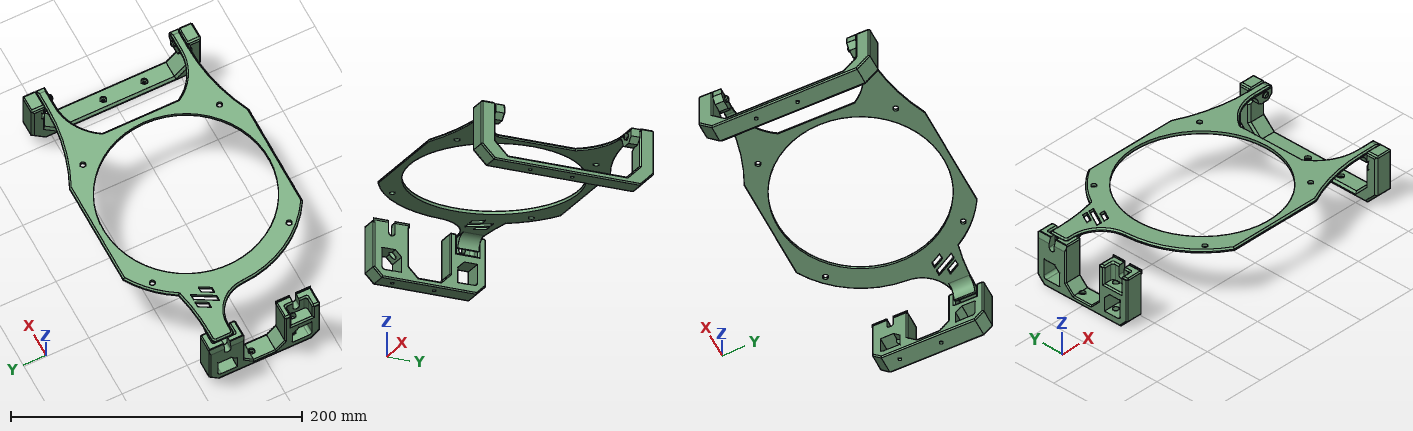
import cadquery as cq
import math

half_length = 119.5
bracket_width = 15.0
bracket_bottom = -42.0
base_top = -37.8
edge_chamfer = 1.0
fit_gap = 0.2

plate_thickness = 2.5
plate_half_width = 68.95
flat_half_length = 40.6
ring_outer_radius = math.hypot(flat_half_length, plate_half_width)
opening_diameter = 127.0
plate_chamfer = 1.2
screw_hole_diameter = 4.0
screw_hole_offset = 52.5
bridge_edge_x = 69.0
bridge_half_width = 29.2
arm_outer_y = 54.7
arm_inner_y = 48.0
arm_straight_x = 102.8
arm_end_slope_length = 3.3
arm_end_slope_drop = 1.0

post_y = 28.7
tab_half_width = 8.0
tab_end_x = -113.3
tab_straight_x = -105.2
tab_corner_radius = 2.9
wedge_overhang = 1.2
wedge_fillet_radius = 8.5
tab_neck = (-28.6, 16.9)

lug_thickness = 6.7
lug_bottom = -11.0
lug_slope = 4.0
lug_fillet_radius = 7.2
lug_overlap = 1.7
lug_bottom_start = 2.6
pin_x = 112.5
pin_z = -5.0
pin_diameter = 4.8
pin_inner_y = 46.0
pin_outer_y = 57.5
pin_chamfer = 1.0
groove_width = 5.7
groove_depth = 2.9
groove_end_drop = 5.3

left_center_x = -half_length + bracket_width / 2
right_center_x = half_length - bracket_width / 2
left_outer_y = 42.5
left_inner_y = 15.5
left_outer_chamfer = 6.7
left_inner_chamfer = 7.2
hinge_face_chamfer = 1.7
right_outer_y = 65.2
right_inner_y = arm_outer_y
right_outer_chamfer = 9.8
right_inner_chamfer = 9.8
base_hole_ys = (6.7, -24.9)
base_hole_diameter = 2.5
base_counterbore_diameter = 4.8
base_counterbore_depth = 2.0

window_half_width = 7.5
window_bottom = -36.0
window_top = -20.0
window_corner_cut = 4.8
window_fillet = 2.5
pocket_half_width = tab_half_width + fit_gap
pocket_wall = 6.0
pocket_floor = -14.0
pocket_corner_radius = 2.5
pocket_rim_chamfer = 1.2
slot_diameter = 4.8
slot_bottom = -10.3
outer_taper_height = 4.8
outer_taper_depth = 1.5
lip_thickness = 0.5
lip_bottom = -2.2
lip_top = 0.7

slanted_slots = ((-88.2, 25.3, 33.5), (-85.8, 18.0, 33.5), (-78.6, 18.0, 26.0))
slanted_slot_width = 4.3
slant_angle = math.radians(29)


def point_on_circle(center, radius, degrees):
    angle = math.radians(degrees)
    return (center[0] + radius * math.cos(angle), center[1] + radius * math.sin(angle))


def arm_arc_middle(tangent_point, end_point):
    """Middle of the arc that leaves tangent_point along X and ends at end_point."""
    run = end_point[0] - tangent_point[0]
    rise = end_point[1] - tangent_point[1]
    radius = (run**2 + rise**2) / (2 * abs(rise))
    half_angle = math.atan2(abs(rise), abs(run))
    return (
        tangent_point[0] + math.copysign(radius * math.sin(half_angle), run),
        tangent_point[1] + math.copysign(radius * (1 - math.cos(half_angle)), rise),
    )


def flipped(point):
    return (point[0], -point[1])


def plate_outline():
    """Outer outline of the ring with its latch tab and two hinge arms."""
    ring_center = (0, 0)
    tab_top_y = post_y + tab_half_width
    tab_bottom_y = post_y - tab_half_width
    neck_angle = math.degrees(math.atan2(tab_neck[1], tab_neck[0]))
    corner_angle = math.degrees(math.atan2(plate_half_width, flat_half_length))
    neck_start = point_on_circle(ring_center, ring_outer_radius, neck_angle)
    upper_middle = point_on_circle(ring_center, ring_outer_radius, (180 - corner_angle + neck_angle) / 2)

    hollow_radius = (tab_straight_x**2 + tab_bottom_y**2 - ring_outer_radius**2) / (
        2 * (ring_outer_radius + tab_bottom_y)
    )
    hollow_center = (tab_straight_x, tab_bottom_y - hollow_radius)
    hollow_angle = math.degrees(math.atan2(-hollow_center[1], -hollow_center[0]))
    hollow_middle = point_on_circle(hollow_center, hollow_radius, (90 + hollow_angle) / 2)
    hollow_end = point_on_circle(hollow_center, hollow_radius, hollow_angle)
    lower_middle = point_on_circle(
        ring_center, ring_outer_radius, (180 + hollow_angle + 180 + corner_angle) / 2
    )

    outer_tangent = (arm_straight_x, -arm_outer_y)
    inner_tangent = (arm_straight_x, -arm_inner_y)
    ring_corner = (flat_half_length, -plate_half_width)
    bridge_corner = (bridge_edge_x, -bridge_half_width)
    outer_middle = arm_arc_middle(outer_tangent, ring_corner)
    inner_middle = arm_arc_middle(inner_tangent, bridge_corner)

    return (
        cq.Workplane("XY", origin=(0, 0, -plate_thickness))
        .moveTo(half_length, arm_outer_y)
        .lineTo(*flipped(outer_tangent))
        .threePointArc(flipped(outer_middle), flipped(ring_corner))
        .lineTo(-flat_half_length, plate_half_width)
        .threePointArc(upper_middle, neck_start)
        .threePointArc(
            arm_arc_middle((tab_straight_x, tab_top_y), neck_start), (tab_straight_x, tab_top_y)
        )
        .lineTo(tab_end_x, tab_top_y)
        .lineTo(tab_end_x, tab_bottom_y)
        .lineTo(tab_straight_x, tab_bottom_y)
        .threePointArc(hollow_middle, hollow_end)
        .threePointArc(lower_middle, (-flat_half_length, -plate_half_width))
        .lineTo(*ring_corner)
        .threePointArc(outer_middle, outer_tangent)
        .lineTo(half_length, -arm_outer_y)
        .lineTo(half_length, -arm_inner_y)
        .lineTo(*inner_tangent)
        .threePointArc(inner_middle, bridge_corner)
        .lineTo(bridge_edge_x, bridge_half_width)
        .threePointArc(flipped(inner_middle), flipped(inner_tangent))
        .lineTo(half_length, arm_inner_y)
        .close()
    )


def hinge_lug():
    """Lug hanging under the +Y hinge arm."""
    face_x = half_length - bracket_width + lug_overlap
    under = -plate_thickness
    return (
        cq.Workplane("XZ", origin=(0, arm_outer_y - fit_gap, 0))
        .moveTo(half_length, under)
        .lineTo(face_x - lug_fillet_radius, under)
        .radiusArc((face_x, under - lug_fillet_radius), lug_fillet_radius)
        .lineTo(face_x + lug_bottom_start, lug_bottom)
        .lineTo(half_length - lug_slope, lug_bottom)
        .lineTo(half_length, lug_bottom + lug_slope)
        .close()
        .extrude(lug_thickness)
    )


def mirrored_pair(body):
    return body.union(body.mirror("XZ"))


def slanted_slot(left_x, bottom_y, top_y):
    """Parallelogram slot through the latch arm."""
    shift = (top_y - bottom_y) * math.tan(slant_angle)
    right_x = left_x + slanted_slot_width
    outline = [(left_x, bottom_y), (right_x, bottom_y), (right_x + shift, top_y), (left_x + shift, top_y)]
    return cq.Workplane("XY").polyline(outline).close().extrude(-plate_thickness)


def arm_end_slope():
    """Shallow slope cut across the top of the +Y hinge arm's end."""
    return (
        cq.Workplane("XZ", origin=(0, arm_outer_y, 0))
        .moveTo(half_length - arm_end_slope_length, 0)
        .lineTo(half_length, -arm_end_slope_drop)
        .lineTo(half_length, 0)
        .close()
        .extrude(arm_outer_y - arm_inner_y)
    )


def tab_wedge():
    """Wedge under the latch tab that fills the pocket, with a fillet up to the arm."""
    face_x = -half_length + bracket_width + wedge_overhang
    bottom = -plate_thickness - wedge_fillet_radius
    return (
        cq.Workplane("XZ", origin=(0, post_y + tab_half_width, 0))
        .moveTo(tab_end_x + tab_corner_radius, -plate_thickness)
        .lineTo(face_x - wedge_overhang, bottom)
        .lineTo(face_x, bottom)
        .radiusArc((face_x + wedge_fillet_radius, -plate_thickness), wedge_fillet_radius)
        .close()
        .extrude(2 * tab_half_width)
    )


def hinge_pin():
    """Pin of the +Y hinge, chamfered at its outer end."""
    pin = (
        cq.Workplane("XZ", origin=(pin_x, pin_inner_y, pin_z))
        .circle(pin_diameter / 2)
        .extrude(pin_inner_y - pin_outer_y)
    )
    return pin.faces("<Y").chamfer(pin_chamfer)


def make_ring_plate():
    plate = plate_outline().extrude(plate_thickness - plate_chamfer)
    plate = plate.edges("|Z and <X").fillet(tab_corner_radius)
    plate = plate.faces(">Z").wires().toPending().extrude(plate_chamfer, taper=45)
    opening = cq.Workplane("XY").circle(opening_diameter / 2).extrude(-plate_thickness)
    screw_holes = (
        cq.Workplane("XY")
        .rect(2 * screw_hole_offset, 2 * screw_hole_offset, forConstruction=True)
        .vertices()
        .circle(screw_hole_diameter / 2)
        .extrude(-plate_thickness)
    )
    plate = plate.cut(opening).cut(screw_holes)
    for left_x, bottom_y, top_y in slanted_slots:
        plate = plate.cut(slanted_slot(left_x, bottom_y, top_y))
    plate = plate.cut(mirrored_pair(arm_end_slope()))
    plate = plate.union(mirrored_pair(hinge_lug())).union(tab_wedge())
    return plate.cut(mirrored_pair(hinge_pin()))


def bracket_blank(center_x, outer_y, inner_y, outer_chamfer, inner_chamfer, face_chamfer):
    """U-shaped bracket: two posts on a base; face_chamfer is for the edges of the -X face."""
    half_profile = [
        (inner_y - inner_chamfer, base_top),
        (inner_y, base_top + inner_chamfer),
        (inner_y, 0),
        (outer_y, 0),
        (outer_y, bracket_bottom + outer_chamfer),
        (outer_y - outer_chamfer, bracket_bottom),
    ]
    other_half = [(-y, z) for y, z in reversed(half_profile)]
    blank = (
        cq.Workplane("YZ", origin=(center_x - bracket_width / 2, 0, 0))
        .polyline(half_profile + other_half)
        .close()
        .extrude(bracket_width)
    )
    blank = blank.faces("<X").chamfer(face_chamfer)
    blank = blank.edges(">X or >Z").chamfer(edge_chamfer)
    hole_places = [(0, y) for y in base_hole_ys]
    holes = (
        cq.Workplane("XY", origin=(center_x, 0, base_top))
        .pushPoints(hole_places)
        .circle(base_hole_diameter / 2)
        .extrude(bracket_bottom - base_top)
    )
    counterbores = (
        cq.Workplane("XY", origin=(center_x, 0, base_top))
        .pushPoints(hole_places)
        .circle(base_counterbore_diameter / 2)
        .extrude(-base_counterbore_depth)
    )
    return blank.cut(holes).cut(counterbores)


def post_window():
    """Window through the +Y post."""
    inner = post_y - window_half_width
    outer = post_y + window_half_width
    outline = [
        (inner, window_bottom),
        (outer, window_bottom),
        (outer, window_top),
        (inner + window_corner_cut, window_top),
        (inner, window_top - window_corner_cut),
    ]
    window = (
        cq.Workplane("YZ", origin=(-half_length, 0, 0))
        .polyline(outline)
        .close()
        .extrude(bracket_width)
    )
    return window.edges(">Y and <Z").fillet(window_fillet)


def latch_pocket():
    """Pocket in the -Y post, open at -X and at the top, with a wire slot at its back."""
    pocket_length = bracket_width - pocket_wall
    width = 2 * pocket_half_width
    pocket = (
        cq.Workplane("XY", origin=(-half_length, -post_y, pocket_floor))
        .rect(2 * pocket_length, width)
        .extrude(-pocket_floor)
        .edges("|Z")
        .fillet(pocket_corner_radius)
    )
    front_rim = (
        cq.Workplane("YZ", origin=(-half_length, -post_y, 0))
        .rect(width + 2 * pocket_rim_chamfer, 2 * (pocket_rim_chamfer - pocket_floor))
        .workplane(offset=pocket_rim_chamfer)
        .rect(width, -2 * pocket_floor)
        .loft(ruled=True)
    )
    top_rim = (
        cq.Workplane("XY", origin=(-half_length, -post_y, 0))
        .rect(2 * (pocket_length + pocket_rim_chamfer), width + 2 * pocket_rim_chamfer)
        .workplane(offset=-pocket_rim_chamfer)
        .rect(2 * pocket_length, width)
        .loft(ruled=True)
        .edges("not(#Z)")
        .edges(">X")
        .fillet(pocket_corner_radius)
    )
    slot_radius = slot_diameter / 2
    slot_center_z = slot_bottom + slot_radius
    slot = (
        cq.Workplane("YZ", origin=(-half_length, -post_y, slot_center_z))
        .circle(slot_radius)
        .extrude(bracket_width)
    )
    slot_mouth = cq.Workplane("XY").box(
        bracket_width, slot_diameter, lip_top - slot_center_z, centered=(False, True, False)
    )
    slot_mouth = slot_mouth.translate((-half_length, -post_y, slot_center_z))
    return pocket.union(front_rim).union(top_rim).union(slot).union(slot_mouth)


def half_turn(body):
    """The body turned 180 degrees about the vertical middle axis of the latch bracket."""
    return body.rotate((left_center_x, 0, 0), (left_center_x, 0, 1), 180)


def make_latch_bracket():
    bracket = bracket_blank(
        left_center_x, left_outer_y, left_inner_y, left_outer_chamfer, left_inner_chamfer, edge_chamfer
    )
    lip = cq.Workplane("XY").box(
        lip_thickness, left_outer_y - left_inner_y, lip_top - lip_bottom, centered=False
    )
    bracket = bracket.union(
        lip.translate((-half_length + bracket_width - lip_thickness, -left_outer_y, lip_bottom))
    )
    window = post_window()
    pocket = latch_pocket()
    bracket = bracket.cut(window).cut(window.mirror("XZ")).cut(pocket).cut(half_turn(pocket))

    taper = (
        cq.Workplane("XZ", origin=(0, left_outer_y, 0))
        .moveTo(-half_length, -outer_taper_height)
        .lineTo(-half_length + outer_taper_depth, 0)
        .lineTo(-half_length, 0)
        .close()
        .extrude(left_outer_y - left_inner_y)
    )
    access_hole = (
        cq.Workplane("XY", origin=(left_center_x, base_hole_ys[1], pocket_floor))
        .circle(base_counterbore_diameter / 2)
        .extrude(base_top - pocket_floor)
    )
    return bracket.cut(taper).cut(access_hole)


def hinge_groove():
    """Sloping groove in the +Y post that leads the pin from the -X face to its seat."""
    run = pin_x - (half_length - bracket_width)
    length = math.hypot(run, groove_end_drop)
    slope = math.degrees(math.atan2(groove_end_drop, run))
    groove = (
        cq.Workplane("XZ", origin=(pin_x, right_inner_y, pin_z))
        .circle(groove_width / 2)
        .extrude(-groove_depth)
    )
    lead_in = cq.Workplane("XY").box(
        2 * length, groove_depth, groove_width, centered=(False, False, True)
    )
    lead_in = lead_in.translate((-2 * length, 0, 0)).rotate((0, 0, 0), (0, 1, 0), -slope)
    return groove.union(lead_in.translate((pin_x, right_inner_y, pin_z)))


def make_hinge_bracket():
    bracket = bracket_blank(
        right_center_x,
        right_outer_y,
        right_inner_y,
        right_outer_chamfer,
        right_inner_chamfer,
        hinge_face_chamfer,
    )
    groove = hinge_groove()
    return bracket.cut(groove).cut(groove.mirror("XZ"))


ring_plate = make_ring_plate()
latch_bracket = make_latch_bracket()
hinge_bracket = make_hinge_bracket()
pin = hinge_pin()
hinge_pins = [pin.val(), pin.mirror("XZ").val()]

result = cq.Compound.makeCompound(
    [ring_plate.val(), latch_bracket.val(), hinge_bracket.val(), *hinge_pins]
)